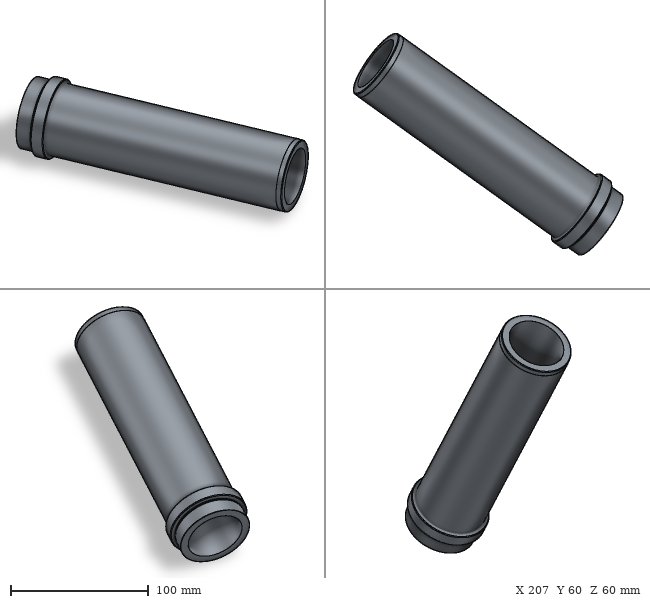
import cadquery as cq

length = 207.0
bore_diameter = 42.0
body_diameter = 54.0
collar_diameter = 60.0

collar_start = 12.5
collar_width = 9.7
collar_chamfer = 0.6
groove_width = 1.5
spigot_chamfer = 0.2
groove_depth = 0.6

root_fillet = 0.6

lead_length = 4.3
lead_step = 0.1
end_chamfer = 0.6

body_radius = body_diameter / 2
collar_radius = collar_diameter / 2
groove_radius = body_radius - groove_depth
lead_radius = body_radius - lead_step
collar_end = collar_start + collar_width
groove_start = collar_start - groove_width
lead_start = length - lead_length


def make_outer_body():
    """Revolve the outer half profile, drawn as (x, radius), about the X axis."""
    profile = (
        cq.Workplane("XY")
        .moveTo(0, 0)
        .lineTo(0, body_radius - spigot_chamfer)
        .lineTo(spigot_chamfer, body_radius)
        .lineTo(groove_start, body_radius)
        .lineTo(groove_start, groove_radius)
        .lineTo(collar_start, groove_radius)
        .lineTo(collar_start, collar_radius - collar_chamfer)
        .lineTo(collar_start + collar_chamfer, collar_radius)
        .lineTo(collar_end - collar_chamfer, collar_radius)
        .lineTo(collar_end, collar_radius - collar_chamfer)
        .lineTo(collar_end, body_radius + root_fillet)
        .radiusArc((collar_end + root_fillet, body_radius), -root_fillet)
        .lineTo(lead_start, body_radius)
        .lineTo(lead_start, lead_radius)
        .lineTo(length - end_chamfer, lead_radius)
        .lineTo(length, lead_radius - end_chamfer)
        .lineTo(length, 0)
        .close()
    )
    return profile.revolve(360, (0, 0, 0), (1, 0, 0))


def make_bore():
    """Plain bore running through the whole sleeve."""
    return cq.Workplane("YZ").circle(bore_diameter / 2).extrude(length)


result = make_outer_body().cut(make_bore())